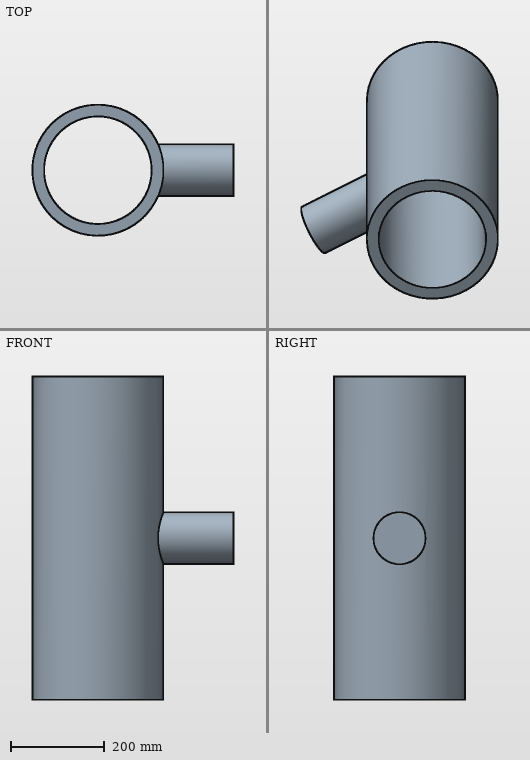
import cadquery as cq

pipe_height = 690.0
pipe_outer_diameter = 280.0
pipe_bore_diameter = 229.0

branch_diameter = 111.0
branch_reach = 290.0
branch_height = pipe_height / 2


def make_pipe_body():
    return cq.Workplane("XY").circle(pipe_outer_diameter / 2).extrude(pipe_height)


def make_branch():
    return (
        cq.Workplane("YZ")
        .center(0, branch_height)
        .circle(branch_diameter / 2)
        .extrude(branch_reach)
    )


def make_bore():
    return cq.Workplane("XY").circle(pipe_bore_diameter / 2).extrude(pipe_height)


result = make_pipe_body().union(make_branch()).cut(make_bore())